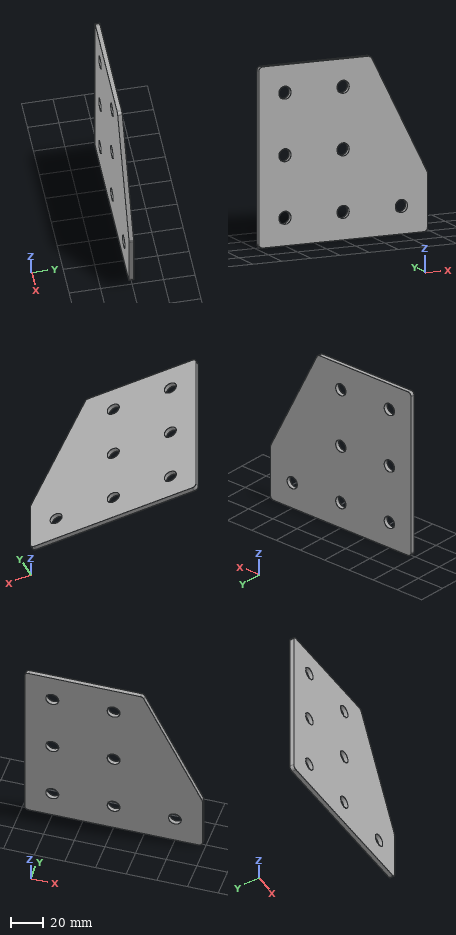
import cadquery as cq

side = 116.0
thickness = 3.0
bottom_width = side
top_width = 77.0
right_height = 38.0
corner_radius = 2.5

hole_diameter = 8.2
hole_pitch = 40.0
edge_margin = 18.0
holes_per_row = [3, 2, 2]

outline = [
    (0, 0),
    (bottom_width, 0),
    (bottom_width, right_height),
    (top_width, side),
    (0, side),
]
plate = (
    cq.Workplane("XZ")
    .polyline(outline)
    .close()
    .extrude(thickness)
    .edges("|Y")
    .fillet(corner_radius)
)

hole_centres = [
    (edge_margin + column * hole_pitch, edge_margin + row * hole_pitch)
    for row, hole_count in enumerate(holes_per_row)
    for column in range(hole_count)
]
holes = (
    cq.Workplane("XZ")
    .pushPoints(hole_centres)
    .circle(hole_diameter / 2)
    .extrude(thickness)
)

result = plate.cut(holes)